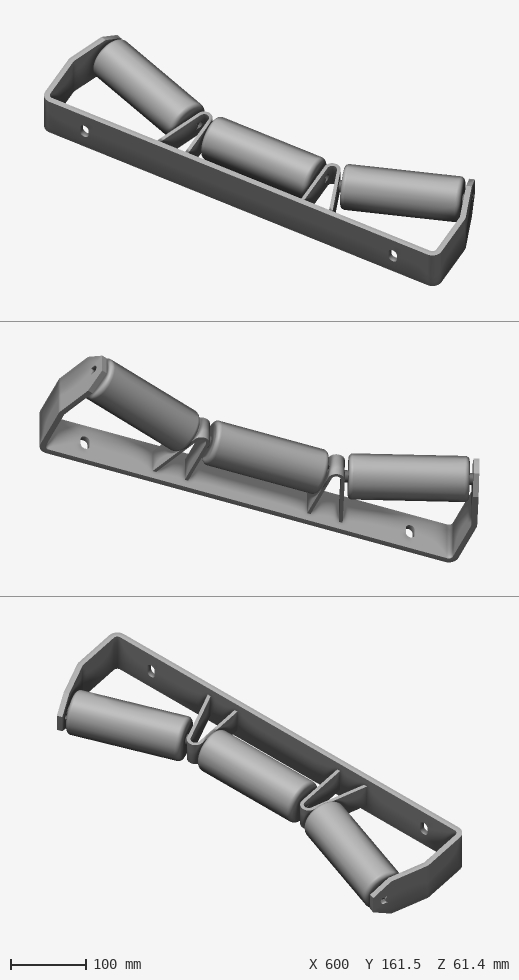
import cadquery as cq
import math

frame_length = 600.0
frame_depth = 161.5
strip_height = 61.0
frame_thickness = 8.0
corner_radius = 14.0
arm_bend_radius = 12.0
tilt = 20.0
tip_width = 27.0
tip_chamfer_length = 28.0
mount_slot_spacing = 467.0
mount_slot_width = 12.5
mount_slot_length = 21.5

roller_rise = 0.2
roller_diameter = strip_height + 2 * roller_rise
roller_length = 161.5
roller_edge_radius = 6.0
collar_diameter = 16.0
collar_length = 5.0
axle_diameter = 14.0
axle_flat_width = 11.5
axle_slot_length = 21.5

support_height = 36.0
support_thickness = 5.0
support_bend_radius = 11.5
support_bend_y = 83.0
axle_drop = 12.0

half_length = frame_length / 2
sin_tilt = math.sin(math.radians(tilt))
cos_tilt = math.cos(math.radians(tilt))
up_arm = cq.Vector(sin_tilt, cos_tilt, 0)
outward = cq.Vector(-cos_tilt, sin_tilt, 0)
along_x = cq.Vector(1, 0, 0)
along_y = cq.Vector(0, 1, 0)

clear_span = roller_length + 2 * collar_length
support_bend = cq.Vector(-clear_span / 2 - support_bend_radius, support_bend_y, 0)
leaning_leg_face = support_bend + outward * support_bend_radius
arm_outer_offset = leaning_leg_face.dot(outward) + clear_span + frame_thickness

arm_bend_x = -half_length + arm_bend_radius
arm_bend_y = (arm_outer_offset - arm_bend_radius + cos_tilt * arm_bend_x) / sin_tilt
arm_bend = cq.Vector(arm_bend_x, arm_bend_y, 0)
arm_start = arm_bend + outward * arm_bend_radius
arm_length = (frame_depth - arm_start.y) / cos_tilt

middle_roller_center = cq.Vector(0, support_bend_y - axle_drop, 0)
leg_axle_point = leaning_leg_face - up_arm * axle_drop
side_roller_center = leg_axle_point + outward * (clear_span / 2)
arm_axle_point = leg_axle_point + outward * clear_span


def mirrored(body):
    return body.mirror("YZ")


def xy(point):
    return (point.x, point.y)


def strip(outline, height):
    return outline.close().extrude(height / 2, both=True)


def axle_section(center, axis, along_flats, length):
    """Sketch of a round with two flats, lengthened along the flats to a given overall length."""
    half_width = axle_flat_width / 2
    half_section = length / 2
    arc_rise = axle_diameter / 2 - math.sqrt((axle_diameter / 2) ** 2 - half_width ** 2)
    flat_end = half_section - arc_rise
    plane = cq.Plane(origin=center, xDir=along_flats, normal=axis)
    section = cq.Workplane(plane).moveTo(-flat_end, -half_width).lineTo(flat_end, -half_width)
    section = section.threePointArc((half_section, 0), (flat_end, half_width))
    section = section.lineTo(-flat_end, half_width)
    return section.threePointArc((-half_section, 0), (-flat_end, -half_width)).close()


def axle_slot(axle_point, axis, up_leg, depth):
    """Slot cutter with the axle resting in its lower end, passing depth to each side."""
    center = axle_point + up_leg * ((axle_slot_length - axle_diameter) / 2)
    return axle_section(center, axis, up_leg, axle_slot_length).extrude(depth, both=True)


def mount_slot():
    plane = cq.Workplane("XZ").center(-mount_slot_spacing / 2, 0)
    return plane.slot2D(mount_slot_length, mount_slot_width, 90).extrude(2 * frame_thickness, both=True)


def bend_arc(sketch, center, radius, start_angle, end_angle):
    """Continue an outline around a bend; angles are in degrees from +X."""
    points = []
    for angle in ((start_angle + end_angle) / 2, end_angle):
        turn = math.radians(angle)
        points.append((center.x + radius * math.cos(turn), center.y + radius * math.sin(turn)))
    return sketch.threePointArc(*points)


def left_frame_outline():
    corner_inner_radius = corner_radius - frame_thickness
    arm_inner_radius = arm_bend_radius - frame_thickness
    corner = cq.Vector(-half_length + corner_radius, corner_radius, 0)
    tip_outer = arm_start + up_arm * arm_length
    tip_inner = tip_outer - outward * frame_thickness
    outline = cq.Workplane("XY").moveTo(0, 0).lineTo(corner.x, 0)
    outline = bend_arc(outline, corner, corner_radius, 270, 180)
    outline = outline.lineTo(-half_length, arm_bend.y)
    outline = bend_arc(outline, arm_bend, arm_bend_radius, 180, 180 - tilt)
    outline = outline.lineTo(*xy(tip_outer)).lineTo(*xy(tip_inner))
    outline = outline.lineTo(*xy(arm_bend + outward * arm_inner_radius))
    outline = bend_arc(outline, arm_bend, arm_inner_radius, 180 - tilt, 180)
    outline = outline.lineTo(-half_length + frame_thickness, corner.y)
    outline = bend_arc(outline, corner, corner_inner_radius, 180, 270)
    return outline.lineTo(0, frame_thickness)


def tip_chamfer_cutter():
    """Triangle removed from one corner of the arm tip; its mirror image removes the other."""
    tip = arm_start + up_arm * arm_length
    half_height = strip_height / 2
    plane = cq.Plane(origin=tip, xDir=up_arm, normal=outward)
    corner_points = [(0, tip_width / 2), (0, half_height), (-tip_chamfer_length, half_height)]
    return cq.Workplane(plane).polyline(corner_points).close().extrude(2 * frame_thickness, both=True)


def make_frame():
    half = strip(left_frame_outline(), strip_height)
    chamfer = tip_chamfer_cutter()
    half = half.cut(chamfer).cut(chamfer.mirror("XY"))
    half = half.cut(axle_slot(arm_axle_point, outward, up_arm, 2 * frame_thickness))
    half = half.cut(mount_slot())
    return half.union(mirrored(half)).clean()


def make_left_support():
    inner_radius = support_bend_radius - support_thickness
    inner_face = support_bend + outward * inner_radius
    outer_foot = leaning_leg_face - up_arm * ((leaning_leg_face.y - frame_thickness) / cos_tilt)
    inner_foot = inner_face - up_arm * ((inner_face.y - frame_thickness) / cos_tilt)
    outline = cq.Workplane("XY").moveTo(support_bend.x + support_bend_radius, frame_thickness)
    outline = outline.lineTo(support_bend.x + support_bend_radius, support_bend.y)
    outline = bend_arc(outline, support_bend, support_bend_radius, 0, 180 - tilt)
    outline = outline.lineTo(*xy(outer_foot)).lineTo(*xy(inner_foot)).lineTo(*xy(inner_face))
    outline = bend_arc(outline, support_bend, inner_radius, 180 - tilt, 0)
    outline = outline.lineTo(support_bend.x + inner_radius, frame_thickness)
    support = strip(outline, support_height)

    upright_axle_point = cq.Vector(-clear_span / 2, middle_roller_center.y, 0)
    support = support.cut(axle_slot(upright_axle_point, along_x, along_y, support_bend_radius))
    return support.cut(axle_slot(leg_axle_point, outward, up_arm, support_bend_radius))


def make_roller(center, axis, along_flats, far_thickness):
    """Roller with its axle; far_thickness is the strip the axle passes at the end along +axis."""

    def rod(diameter, start, end):
        plane = cq.Plane(origin=center + axis * start, normal=axis)
        return cq.Workplane(plane).circle(diameter / 2).extrude(end - start)

    shell = rod(roller_diameter, -roller_length / 2, roller_length / 2)
    shell = shell.edges().fillet(roller_edge_radius)
    collars = rod(collar_diameter, -clear_span / 2, clear_span / 2)
    axle_start = -clear_span / 2 - support_thickness
    axle_end = clear_span / 2 + far_thickness
    axle = axle_section(center + axis * axle_start, axis, along_flats, axle_diameter)
    axle = axle.extrude(axle_end - axle_start)
    return shell.union(collars).union(axle)


frame = make_frame()
left_support = make_left_support()
supports = [left_support, mirrored(left_support)]
middle_roller = make_roller(middle_roller_center, along_x, along_y, support_thickness)
left_roller = make_roller(side_roller_center, outward, up_arm, frame_thickness)
rollers = [middle_roller, left_roller, mirrored(left_roller)]

result = cq.Compound.makeCompound([body.val() for body in [frame, *supports, *rollers]])